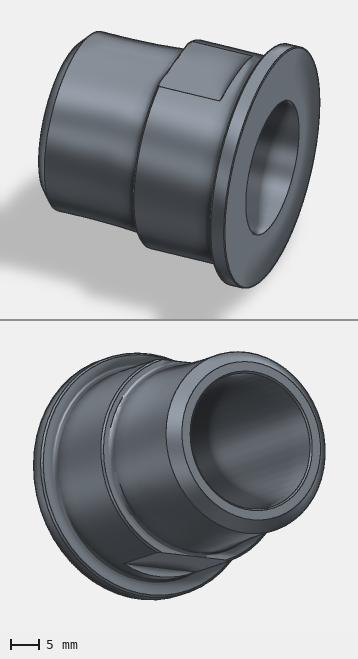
import cadquery as cq
import math

total_length = 39.0
neck_end = 19.98
flange_start = 36.0

bore_radius = 24.5 / 2
collar_radius = 38.0 / 2
flange_radius = 44 / 2
neck_tip_radius = 14.25
neck_front_radius = 16.35
neck_waist_radius = 16.32
neck_root_radius = 16.9

neck_chamfer_length = 2.0
waist_position = 7.7
root_fillet = 0.8
edge_chamfer = 0.35
back_chamfer = 0.18
bore_chamfer = 0.3

flat_height = 17.45
flat_end = 32.0
flat_end_angle = 15.0

fillet_middle = root_fillet * math.sin(math.radians(45))


def concave_fillet(profile, face_x, radius):
    """Add a quarter-round from a cylinder of the given radius to the face at face_x."""
    center_x = face_x - root_fillet
    center_radius = radius + root_fillet
    return profile.threePointArc(
        (center_x + fillet_middle, center_radius - fillet_middle),
        (face_x, center_radius),
    )


def make_body():
    """Revolve the neck, collar, flange and bore as one half profile."""
    profile = (
        cq.Workplane("XY")
        .moveTo(bore_chamfer, bore_radius)
        .lineTo(0, bore_radius + bore_chamfer)
        .lineTo(0, neck_tip_radius)
        .lineTo(neck_chamfer_length, neck_front_radius)
        .threePointArc(
            (waist_position, neck_waist_radius),
            (neck_end - root_fillet, neck_root_radius),
        )
    )
    profile = concave_fillet(profile, neck_end, neck_root_radius)
    profile = (
        profile.lineTo(neck_end, collar_radius - edge_chamfer)
        .lineTo(neck_end + edge_chamfer, collar_radius)
        .lineTo(flange_start - root_fillet, collar_radius)
    )
    profile = concave_fillet(profile, flange_start, collar_radius)
    profile = (
        profile.lineTo(flange_start, flange_radius - edge_chamfer)
        .lineTo(flange_start + edge_chamfer, flange_radius)
        .lineTo(total_length - back_chamfer, flange_radius)
        .lineTo(total_length, flange_radius - back_chamfer)
        .lineTo(total_length, bore_radius)
        .close()
    )
    return profile.revolve(360, (0, 0, 0), (1, 0, 0))


def make_flat_cutter():
    """Block above the upper flat, with a sloped wall at its flange end."""
    cutter_height = flange_radius - flat_height
    slope_run = cutter_height * math.tan(math.radians(flat_end_angle))
    return (
        cq.Workplane("XZ")
        .moveTo(0, flat_height)
        .lineTo(flat_end, flat_height)
        .lineTo(flat_end + slope_run, flange_radius)
        .lineTo(0, flange_radius)
        .close()
        .extrude(flange_radius, both=True)
    )


upper_cutter = make_flat_cutter()
lower_cutter = upper_cutter.mirror("XY")
result = make_body().cut(upper_cutter).cut(lower_cutter)